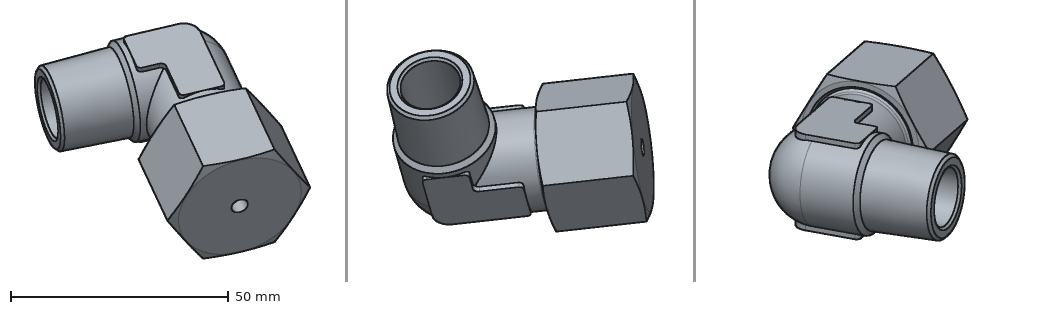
import cadquery as cq
import math

body_radius = 24.0 / 2
bore_radius = 14 / 2
cross_bore_radius = 4.0 / 2

nut_start = 21.55
nut_end = 56 - body_radius
nut_across_flats = 30.0
nut_corner_radius = nut_across_flats / math.sqrt(3)
nut_face_radius = 14.9
nut_chamfer_angle = 15
recess_radius = 12.9
recess_mouth_radius = 13.45

flare_start = 20.7
flare_radius = 1.0
flare_angle = math.radians(45)
flare_arc_end = flare_start + flare_radius * math.sin(flare_angle)
flare_arc_end_radius = body_radius + flare_radius * (1 - math.cos(flare_angle))
flare_end = flare_arc_end + (recess_radius - flare_arc_end_radius) / math.tan(flare_angle)

shoulder_start = 13.5
shoulder_end = 14.7
stem_root_radius = 10.75
stem_tip_radius = 10.2
stem_end = 49.35 - nut_corner_radius
tip_chamfer = 0.7
bore_mouth_radius = 7.6

pad_half_width = 5.5
pad_reach_x = 17.0
pad_reach_y = 12.0
pad_height = 12.05
pad_outer_round = 4.0
pad_inner_round = 1.25
pad_corner_round = 1.0


def cylinder_x(radius, start, end):
    return cq.Workplane("YZ").workplane(offset=start).circle(radius).extrude(end - start)


def make_body():
    """Two round legs joined by a ball, with the stem turned on the -Y leg."""
    ball = cq.Workplane("XY").sphere(body_radius)
    leg = cylinder_x(body_radius, 0, flare_end)
    stem = (
        cq.Workplane("XY")
        .polyline([
            (0, 0),
            (body_radius, 0),
            (body_radius, -shoulder_start),
            (stem_root_radius, -shoulder_end),
            (stem_tip_radius, -(stem_end - tip_chamfer)),
            (stem_tip_radius - tip_chamfer, -stem_end),
            (0, -stem_end),
        ])
        .close()
        .revolve(360, (0, 0, 0), (0, 1, 0))
    )
    return ball.union(leg).union(stem)


def make_flare():
    """Flare around the end of the +X leg, widening to fill the nut recess."""
    half_angle = flare_angle / 2
    arc_middle = (
        flare_start + flare_radius * math.sin(half_angle),
        body_radius + flare_radius * (1 - math.cos(half_angle)),
    )
    return (
        cq.Workplane("XY")
        .moveTo(flare_start, 0)
        .lineTo(flare_start, body_radius)
        .threePointArc(arc_middle, (flare_arc_end, flare_arc_end_radius))
        .lineTo(flare_end, recess_radius)
        .lineTo(flare_end, 0)
        .close()
        .revolve(360, (0, 0, 0), (1, 0, 0))
    )


def make_nut():
    """Hexagon nut with conical corner chamfers and a tapered recess facing the elbow."""
    hexagon = (
        cq.Workplane("YZ")
        .workplane(offset=nut_start)
        .polygon(6, 2 * nut_corner_radius)
        .extrude(nut_end - nut_start)
    )
    chamfer_depth = (nut_corner_radius - nut_face_radius) * math.tan(math.radians(nut_chamfer_angle))
    turned_blank = (
        cq.Workplane("XY")
        .polyline([
            (nut_start, 0),
            (nut_start, nut_face_radius),
            (nut_start + chamfer_depth, nut_corner_radius),
            (nut_end - chamfer_depth, nut_corner_radius),
            (nut_end, nut_face_radius),
            (nut_end, 0),
        ])
        .close()
        .revolve(360, (0, 0, 0), (1, 0, 0))
    )
    recess = (
        cq.Workplane("XY")
        .polyline([
            (nut_start, 0),
            (nut_start, recess_mouth_radius),
            (flare_end, recess_radius),
            (flare_end, 0),
        ])
        .close()
        .revolve(360, (0, 0, 0), (1, 0, 0))
    )
    return hexagon.intersect(turned_blank).cut(recess)


def make_pads():
    """L-shaped block through the elbow that shows as a flat pad on each side."""
    block = (
        cq.Workplane("XY")
        .workplane(offset=-pad_height)
        .polyline([
            (-pad_half_width, pad_half_width),
            (pad_reach_x, pad_half_width),
            (pad_reach_x, -pad_half_width),
            (pad_half_width, -pad_half_width),
            (pad_half_width, -pad_reach_y),
            (-pad_half_width, -pad_reach_y),
        ])
        .close()
        .extrude(2 * pad_height)
    )
    outer_edge = cq.selectors.NearestToPointSelector((-pad_half_width, pad_half_width, 0))
    inner_edge = cq.selectors.NearestToPointSelector((pad_half_width, -pad_half_width, 0))
    block = block.edges(outer_edge).fillet(pad_outer_round)
    block = block.edges(inner_edge).fillet(pad_inner_round)
    end_corners = [
        (pad_reach_x, pad_half_width),
        (pad_reach_x, -pad_half_width),
        (pad_half_width, -pad_reach_y),
        (-pad_half_width, -pad_reach_y),
    ]
    for x, y in end_corners:
        corner_edge = cq.selectors.NearestToPointSelector((x, y, 0))
        block = block.edges(corner_edge).fillet(pad_corner_round)
    return block


def make_bore():
    """Round-ended bore in the stem, chamfered at its tip, with a narrow bore through the nut."""
    mouth_chamfer = bore_mouth_radius - bore_radius
    stem_bore = (
        cq.Workplane("XY")
        .polyline([
            (0, 0),
            (bore_radius, 0),
            (bore_radius, -(stem_end - mouth_chamfer)),
            (bore_mouth_radius, -stem_end),
            (0, -stem_end),
        ])
        .close()
        .revolve(360, (0, 0, 0), (0, 1, 0))
    )
    round_end = cq.Workplane("XY").sphere(bore_radius)
    return round_end.union(cylinder_x(cross_bore_radius, 0, nut_end)).union(stem_bore)


fitting = make_body().union(make_flare()).union(make_nut()).union(make_pads())
result = fitting.cut(make_bore())